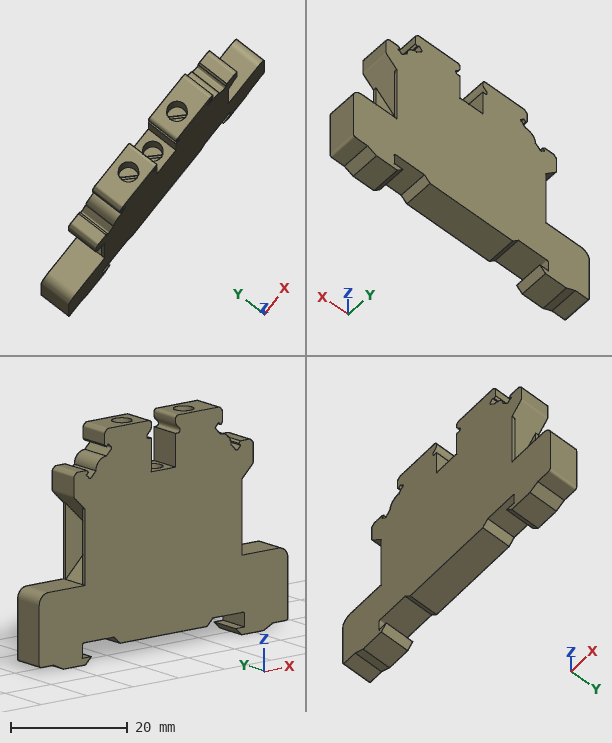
import cadquery as cq
import math

length = 54.2
thickness = 6.0
height = 41.1
half_length = length / 2
coincidence_tolerance = 5.42e-07

shoulder_z = 14.1
shoulder_radius = 2.0
base_bottom_z = 1.05
base_bottom_radius = 0.5
foot_ramp_outer = 23.85
foot_ramp_inner = 21.8
foot_inner = 17.0
hook_top_z = 1.3
rail_side = 17.65
rail_top_z = 3.95
rail_corner_radius = 0.4
rail_ramp_outer = 10.8
belly_z = 2.65

waist = 17.15
slot_half_width = 2.6
slot_floor_z = 31.9
slot_edge_radius = 0.65
bulge_z = 39.55
bulge_radius = 1.2
groove_floor_z = 37.9
groove_radius = 0.5

hump_x = -12.45
hump_z = 34.0
hump_radius = 2.3
notch_run = 1.25
notch_back = 0.8
barb_run = 0.45
notch_radius = 0.2
lip_side = 0.4
lip_chamfer = 0.65
lip_blend_radius = 0.5

lower_lip_x = hump_x - (height - hump_z)
lower_lip_bottom_z = 30.0
lower_lip_bottom_radius = 0.7
waist_top_z = lower_lip_bottom_z + lower_lip_x + waist

bore_diameter = 3.5
bore_depth = 5.4
bore_spacing = 6.7
screw_slot_width = 0.45
screw_slot_depth = 0.55
screw_slot_angle = -45

funnel_width = 4.7
funnel_depth = 4.25
wire_hole_width = 4.05
wire_hole_depth = funnel_depth


def rounded_outline(corners):
    """Closed XZ outline through (x, z, radius) corners, each rounded by a tangent arc."""
    arcs = []
    for i, (x, z, radius) in enumerate(corners):
        corner = cq.Vector(x, z)
        before = cq.Vector(*corners[i - 1][:2])
        after = cq.Vector(*corners[(i + 1) % len(corners)][:2])
        to_before = (before - corner).normalized()
        to_after = (after - corner).normalized()
        half_angle = to_before.getAngle(to_after) / 2
        setback = radius / math.tan(half_angle)
        bisector = (to_before + to_after).normalized()
        middle = corner + bisector * (radius / math.sin(half_angle) - radius)
        arcs.append((radius, corner + to_before * setback, middle, corner + to_after * setback))

    def xz(point):
        return (point.x, point.y)

    end = arcs[-1][3]
    outline = cq.Workplane("XZ").moveTo(*xz(end))
    for radius, start, middle, finish in arcs:
        if (start - end).Length > coincidence_tolerance:
            outline = outline.lineTo(*xz(start))
        if radius > 0:
            outline = outline.threePointArc(xz(middle), xz(finish))
        end = finish
    return outline.close()


def upper_lip():
    """Corners of the upper lip, from the hump to the chamfer at the top face."""
    lip_x = hump_x - lip_side
    notch_x = hump_x + notch_run
    notch_z = hump_z + hump_radius + notch_run
    inner_x = notch_x - notch_back
    inner_z = notch_z + notch_back
    barb_x = inner_x - barb_run
    barb_z = inner_z - barb_run
    return [
        (hump_x, hump_z + hump_radius, 0),
        (notch_x, notch_z, notch_radius),
        (inner_x, inner_z, 0),
        (barb_x, barb_z, 0),
        (lip_x, barb_z + barb_x - lip_x, 0),
        (lip_x, height - lip_chamfer, lip_blend_radius),
        (lip_x + lip_chamfer, height, lip_blend_radius),
    ]


def mirrored_about_hump(corners):
    return [(hump_x - (z - hump_z), hump_z - (x - hump_x), radius) for x, z, radius in reversed(corners)]


def left_corners():
    """Corners of the left half of the outline, from the belly round to the slot floor."""
    upper = upper_lip()
    lower = mirrored_about_hump(upper)
    base = [
        (-rail_ramp_outer + rail_top_z - belly_z, belly_z, 0),
        (-rail_ramp_outer, rail_top_z, 0),
        (-rail_side, rail_top_z, rail_corner_radius),
        (-rail_side, hook_top_z, 0),
        (-foot_inner + hook_top_z, hook_top_z, 0),
        (-foot_inner, 0, 0),
        (-foot_ramp_inner, 0, 0),
        (-foot_ramp_outer, base_bottom_z, 0),
        (-half_length, base_bottom_z, base_bottom_radius),
        (-half_length, shoulder_z, shoulder_radius),
        (-waist, shoulder_z, 0),
        (-waist, waist_top_z, 0),
        (lower_lip_x, lower_lip_bottom_z, lower_lip_bottom_radius),
    ]
    hump = [(hump_x - hump_radius, hump_z + hump_radius, hump_radius)]
    slot = [
        (-slot_half_width, height, slot_edge_radius),
        (-slot_half_width, bulge_z, bulge_radius),
        (-slot_half_width - (bulge_z - groove_floor_z), groove_floor_z, groove_radius),
        (-slot_half_width, groove_floor_z, 0),
        (-slot_half_width, slot_floor_z, 0),
    ]
    return base + lower + hump + upper + slot


def body():
    left = left_corners()
    right = [(-x, z, radius) for x, z, radius in reversed(left)]
    return rounded_outline(left + right).extrude(thickness / 2, both=True)


def screw_bore(x, top_z):
    """Blind bore with the screw's driver slot sunk in its floor."""
    floor_z = top_z - bore_depth
    bore = cq.Workplane("XY").circle(bore_diameter / 2).extrude(bore_depth)
    slot_bar = (
        cq.Workplane("XY")
        .rect(bore_diameter, screw_slot_width)
        .extrude(-screw_slot_depth)
        .rotate((0, 0, 0), (0, 0, 1), screw_slot_angle)
    )
    round_limit = cq.Workplane("XY").circle(bore_diameter / 2).extrude(-screw_slot_depth)
    return bore.union(slot_bar.intersect(round_limit)).translate((x, 0, floor_z))


def wire_entry():
    """Funnel with 45-degree floor and roof, leading into a rectangular wire hole."""
    inner_x = -waist + funnel_depth
    hole_bottom_z = shoulder_z + funnel_depth
    hole_top_z = waist_top_z - funnel_depth
    funnel = (
        cq.Workplane("XZ")
        .polyline([(-waist, shoulder_z), (inner_x, hole_bottom_z), (inner_x, hole_top_z), (-waist, waist_top_z)])
        .close()
        .extrude(funnel_width / 2, both=True)
    )
    hole = cq.Workplane("XY").box(
        wire_hole_depth, wire_hole_width, hole_top_z - hole_bottom_z, centered=(False, True, False)
    )
    return funnel.union(hole.translate((inner_x, 0, hole_bottom_z)))


result = body()
for bore_x, bore_top_z in [(-bore_spacing, height), (0, slot_floor_z), (bore_spacing, height)]:
    result = result.cut(screw_bore(bore_x, bore_top_z))
left_entry = wire_entry()
result = result.cut(left_entry).cut(left_entry.mirror("YZ"))